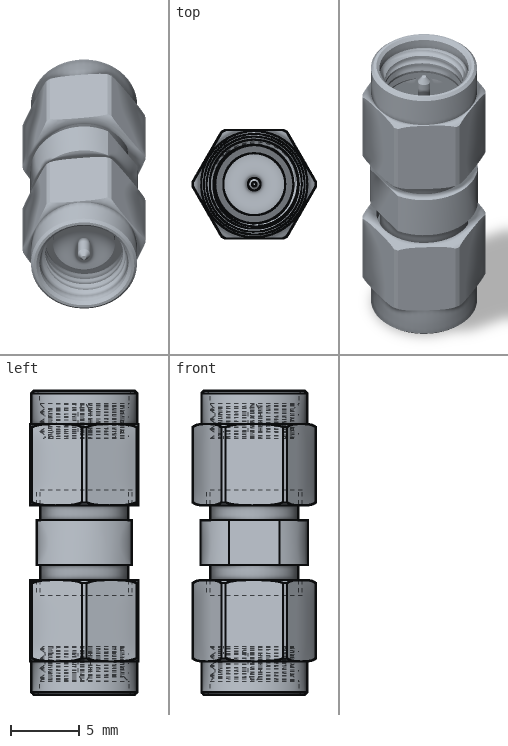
import cadquery as cq
import math

total_length = 22.35
half_length = total_length / 2

nut_across_flats = 8.0
nut_across_corners = 9.05
nut_outer_setback = 2.45
nut_length = 5.96
nut_face_diameter = 7.86
nut_corner_drop = 0.22
nut_clearance_diameter = 7.0
nut_clearance_depth = 1.12
sleeve_diameter = 7.8
rim_chamfer = 0.2

neck_diameter = 6.5
collar_diameter = 7.9
collar_across_flats = 7.0
collar_length = 3.3

bore_diameter = 6.55
mouth_chamfer = 0.22
bore_depth = 0.95
thread_minor_diameter = 5.75
socket_depth = 3.53
insulator_diameter = 4.55
insulator_setback = 3.02

thread_pitch = 0.705
thread_root_diameter = 6.5
thread_crest_flat = thread_pitch / 4
cutter_overlap = 0.02

pin_diameter = 0.92
pin_tip_diameter = 0.31
pin_shoulder_setback = 1.47
pin_tip_setback = 1.03

nut_top = half_length - nut_outer_setback
nut_bottom = nut_top - nut_length
socket_floor = half_length - socket_depth
insulator_face = half_length - insulator_setback


def cylinder(diameter, bottom, top):
    return cq.Workplane("XY", origin=(0, 0, bottom)).circle(diameter / 2).extrude(top - bottom)


def revolve_profile(points):
    """Turn a closed (radius, height) outline about the Z axis."""
    return cq.Workplane("XZ").polyline(points).close().revolve(360, (0, 0), (0, 1))


def make_hexagon():
    """Hexagon with flats facing +-Y and its corners rounded down at both ends."""
    circumscribed = nut_across_flats / math.cos(math.pi / 6)
    prism = cq.Workplane("XY", origin=(0, 0, nut_bottom)).polygon(6, circumscribed).extrude(nut_length)
    face_radius = nut_face_diameter / 2
    corner_radius = nut_across_corners / 2
    run = corner_radius - face_radius
    rounding_radius = (run**2 + nut_corner_drop**2) / (2 * nut_corner_drop)
    half_sweep = math.asin(run / rounding_radius) / 2
    middle_radius = face_radius + rounding_radius * math.sin(half_sweep)
    middle_drop = rounding_radius * (1 - math.cos(half_sweep))
    envelope = (
        cq.Workplane("XZ")
        .moveTo(0, nut_bottom)
        .lineTo(face_radius, nut_bottom)
        .threePointArc((middle_radius, nut_bottom + middle_drop), (corner_radius, nut_bottom + nut_corner_drop))
        .lineTo(corner_radius, nut_top - nut_corner_drop)
        .threePointArc((middle_radius, nut_top - middle_drop), (face_radius, nut_top))
        .lineTo(0, nut_top)
        .close()
        .revolve(360, (0, 0), (0, 1))
    )
    return prism.intersect(envelope)


def make_mouth():
    """Open end of the nut: chamfered rim, plain bore and a 45 degree lead-in to the thread."""
    bore_radius = bore_diameter / 2
    minor_radius = thread_minor_diameter / 2
    lead_in_top = half_length - bore_depth
    lead_in_bottom = lead_in_top - (bore_radius - minor_radius)
    return revolve_profile([
        (0, half_length),
        (bore_radius + mouth_chamfer, half_length),
        (bore_radius, half_length - mouth_chamfer),
        (bore_radius, lead_in_top),
        (minor_radius, lead_in_bottom),
        (0, lead_in_bottom),
    ])


def make_thread_groove():
    """Helical V groove from just below the socket floor up into the plain bore."""
    minor_radius = thread_minor_diameter / 2
    root_radius = thread_root_diameter / 2
    mouth_half = (thread_pitch - thread_crest_flat) / 2
    slope = mouth_half / (root_radius - minor_radius)
    inner_radius = minor_radius - cutter_overlap
    inner_half = mouth_half + cutter_overlap * slope
    start = socket_floor - thread_pitch / 2
    height = half_length - bore_depth - start
    path = cq.Wire.makeHelix(thread_pitch, height, minor_radius, center=cq.Vector(0, 0, start))
    section = cq.Workplane("XZ").polyline([
        (inner_radius, start - inner_half),
        (root_radius, start),
        (inner_radius, start + inner_half),
    ]).close()
    return section.sweep(cq.Workplane(path), isFrenet=True)


def make_pin():
    """Contact pin with a conical tip."""
    radius = pin_diameter / 2
    shoulder = half_length - pin_shoulder_setback
    return revolve_profile([
        (0, insulator_face),
        (radius, insulator_face),
        (radius, shoulder),
        (pin_tip_diameter / 2, half_length - pin_tip_setback),
        (0, half_length - pin_tip_setback),
    ])


def make_nut():
    """Hexagonal nut with its round sleeve, threaded from the open end."""
    sleeve = cylinder(sleeve_diameter, nut_bottom, half_length).faces(">Z").chamfer(rim_chamfer)
    blank = sleeve.union(make_hexagon())
    bored = blank.cut(cylinder(thread_minor_diameter, nut_bottom, half_length))
    return bored.cut(make_thread_groove()).cut(make_mouth())


def make_core():
    """Solid core: the neck, and the flange that fills the nut up to the socket floor."""
    neck = cylinder(neck_diameter, 0, socket_floor)
    flange = cylinder(nut_clearance_diameter, nut_bottom, socket_floor)
    return neck.union(flange)


def make_clearance():
    """Ring-shaped gap around the neck at the inner end of the nut."""
    top = nut_bottom + nut_clearance_depth
    ring = cylinder(nut_clearance_diameter, nut_bottom, top)
    return ring.cut(cylinder(neck_diameter, nut_bottom, top))


def make_plug():
    """Upper plug, from the middle of the part to its +Z end."""
    body = make_nut().union(make_core()).cut(make_clearance())
    insulator = cylinder(insulator_diameter, socket_floor, insulator_face)
    return body.union(insulator).union(make_pin())


def make_collar():
    """Round collar with two wrench flats facing +-Y."""
    half = collar_length / 2
    flats = cq.Workplane("XY").box(2 * collar_diameter, collar_across_flats, collar_length)
    return cylinder(collar_diameter, -half, half).intersect(flats)


upper = make_plug()
lower = upper.rotate((0, 0, 0), (1, 0, 0), 180)
result = upper.union(lower).union(make_collar())